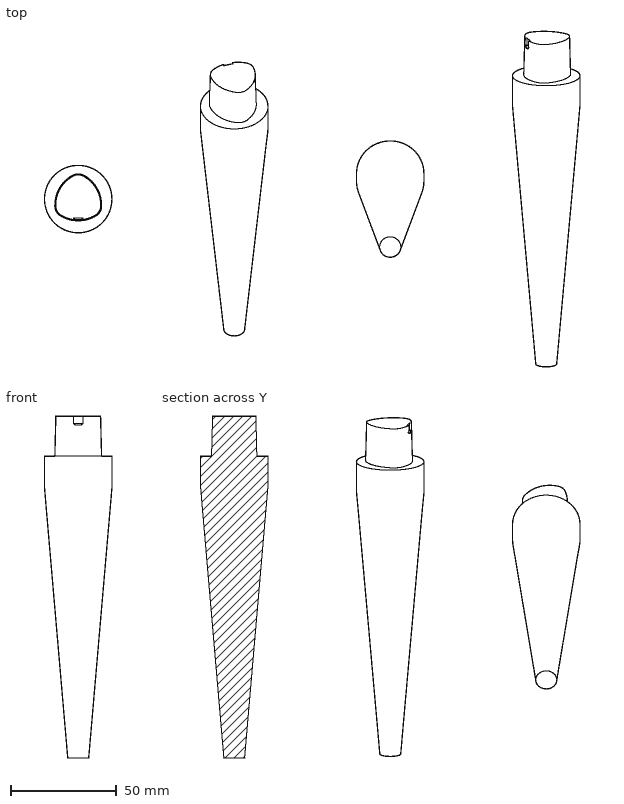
import cadquery as cq
import math

total_length = 162.0
shank_length = 19.0
collar_length = 15.0
cone_length = total_length - collar_length - shank_length

collar_diameter = 32.0
tip_diameter = 10.0

lobe_reach = 11.5
lobe_radius = 5.2
flank_reach = 9.9
wall_slope = 1 / 20

notch_width = 4.5
notch_depth = 1.0
notch_height = 4.2
notch_chamfer = 0.8


def polar(radius, angle):
    return radius * math.cos(math.radians(angle)), radius * math.sin(math.radians(angle))


def lobed_section(z, growth):
    """Three lobe arcs joined by tangent flank arcs, offset outward by growth."""
    lobe_center = lobe_reach - lobe_radius
    inset = flank_reach - lobe_radius
    flank_center = (lobe_center**2 - inset**2) / (2 * inset - lobe_center)
    run = flank_center * math.sin(math.radians(60))
    rise = lobe_center + flank_center * math.cos(math.radians(60))
    half_arc = math.atan2(run, rise)
    radius = lobe_radius + growth
    across = radius * math.sin(half_arc)
    along = lobe_center + radius * math.cos(half_arc)
    joint_radius = math.hypot(across, along)
    joint_angle = math.degrees(math.atan2(across, along))

    section = cq.Workplane("XY", origin=(0, 0, z)).moveTo(*polar(joint_radius, 90 - joint_angle))
    for lobe_angle in (90, 210, 330):
        section = section.threePointArc(
            polar(lobe_reach + growth, lobe_angle),
            polar(joint_radius, lobe_angle + joint_angle),
        )
        section = section.threePointArc(
            polar(flank_reach + growth, lobe_angle + 60),
            polar(joint_radius, lobe_angle + 120 - joint_angle),
        )
    return section.close().wire().val()


def tapered_shank():
    base = lobed_section(total_length - shank_length, shank_length * wall_slope / 2)
    top = lobed_section(total_length, 0)
    return cq.Workplane(cq.Solid.makeLoft([base, top], True))


def notch_cutter():
    """Block with its lower end chamfered at the sides and the back."""
    back_y = -flank_reach + notch_depth
    cutter = (
        cq.Workplane("XY", origin=(0, back_y, total_length))
        .rect(notch_width, 2 * flank_reach)
        .extrude(-notch_height)
        .faces("<Z")
        .chamfer(notch_chamfer)
    )
    return cutter.translate((0, -flank_reach, 0))


handle = (
    cq.Workplane("XZ")
    .polyline([
        (0, 0),
        (tip_diameter / 2, 0),
        (collar_diameter / 2, cone_length),
        (collar_diameter / 2, cone_length + collar_length),
        (0, cone_length + collar_length),
    ])
    .close()
    .revolve(360, (0, 0), (0, 1))
)

result = handle.union(tapered_shank()).cut(notch_cutter())